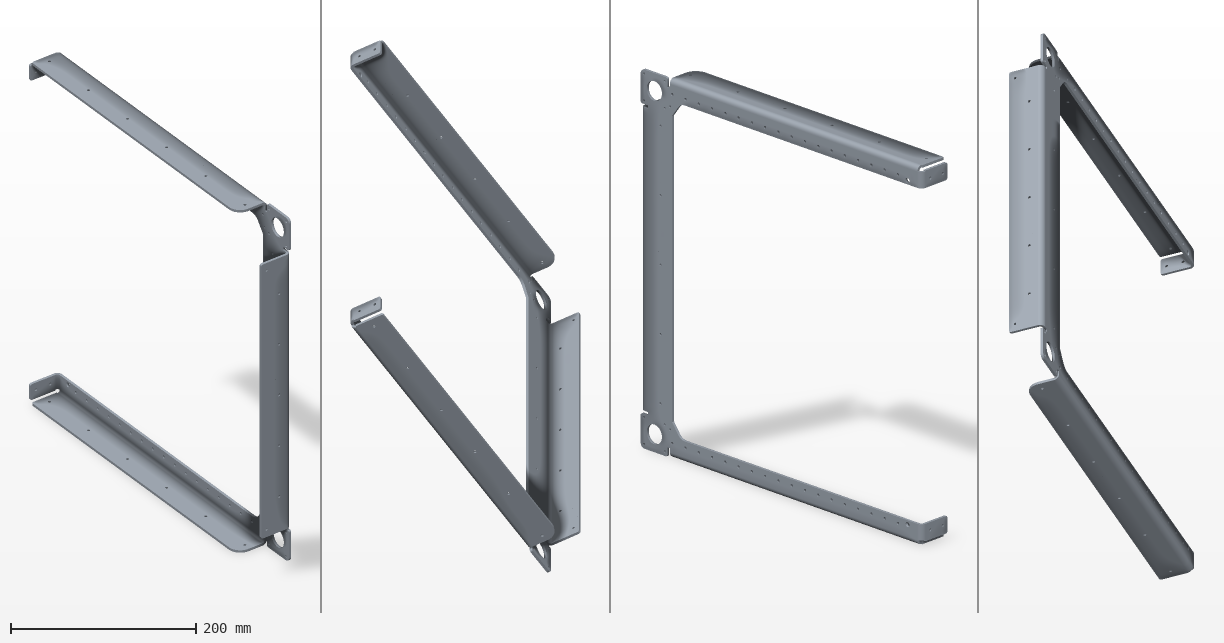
import cadquery as cq

WIDTH = 423.5
DEPTH = 40.0
HEIGHT = 439.0
RIGHT = WIDTH / 2
TOP = HEIGHT / 2
BACK = DEPTH / 2

SHEET = 3.0
INNER_BEND = 3.0
OUTER_BEND = INNER_BEND + SHEET

LEG_HEIGHT = 25.0
COLUMN_WIDTH = 47.5
GUSSET_WIDTH = 12.7
GUSSET_HEIGHT = 17.0
GUSSET_ROUND = 13.0
MOUNT_SIZE = 40.0
MOUNT_ROUND = 5.5
SLOT_ROUND = 2.0
RELIEF_WIDTH = 4.0
RELIEF_DEPTH = 11.0

CORNER_GAP = 5.0
FLANGE_ROUND = 2.0
LEG_FLANGE_ROUND = 15.0

SCREW_HOLE = 2.9
FLANGE_HOLE = 3.3
ROW_HOLE = 3.5
END_HOLE = 5.5
MOTOR_BORE = 23.0

MOTOR_INSET = 20.5
MOTOR_HOLE_PITCH = 31.0
GUSSET_HOLE_INSET_X = 44.5
GUSSET_HOLE_INSET_Z = 32.5
ROW_COUNT = 18
ROW_SPAN = 340.5
ROW_START = 35.5
ROW_INSET = 17.5
END_HOLE_START = 21.0
END_HOLE_INSET = 20.0
COLUMN_HOLE_COUNT = 5
COLUMN_HOLE_SPAN = 322.0
COLUMN_HOLE_INSET = 30.0

LEG_FLANGE_HOLE_COUNT = 6
LEG_FLANGE_HOLE_SPAN = 355.5
LEG_FLANGE_HOLE_START = 15.0
LEG_FLANGE_HOLE_DEPTH = 23.3
COLUMN_FLANGE_HOLE_SPAN = 260.0
COLUMN_FLANGE_HOLE_DEPTH = 16.2
COLUMN_FLANGE_END_HOLE_SPAN = 332.0
OUTER_HOLE_DEPTH = 33.0
TAB_HOLE_DEPTH = 13.5
TAB_HOLE_INSET = 16.0

LEG_BOTTOM = TOP - LEG_HEIGHT
COLUMN_LEFT = RIGHT - COLUMN_WIDTH
MOUNT_LEFT = RIGHT - MOUNT_SIZE
MOUNT_BOTTOM = TOP - MOUNT_SIZE
LEG_FLANGE_END = MOUNT_LEFT - RELIEF_WIDTH
COLUMN_FLANGE_END = MOUNT_BOTTOM - RELIEF_WIDTH


def spaced(count, span, start):
    """Evenly spaced places covering a span."""
    return [start + i * span / (count - 1) for i in range(count)]


def centred(count, span):
    return spaced(count, span, -span / 2)


def plate_holes(points, diameter):
    """Cutters through the back plate at (x, z) points."""
    return (
        cq.Workplane("XZ", origin=(0, BACK + SHEET, 0))
        .pushPoints(points)
        .circle(diameter / 2)
        .extrude(3 * SHEET)
    )


def upper_plate():
    """Flat part of the upper half of the back plate."""
    outline = [
        (-RIGHT + OUTER_BEND, LEG_BOTTOM),
        (-RIGHT + OUTER_BEND, TOP - OUTER_BEND),
        (LEG_FLANGE_END, TOP - OUTER_BEND),
        (LEG_FLANGE_END, TOP - RELIEF_DEPTH),
        (MOUNT_LEFT, TOP - RELIEF_DEPTH),
        (MOUNT_LEFT, TOP),
        (RIGHT, TOP),
        (RIGHT, MOUNT_BOTTOM),
        (RIGHT - RELIEF_DEPTH, MOUNT_BOTTOM),
        (RIGHT - RELIEF_DEPTH, COLUMN_FLANGE_END),
        (RIGHT - OUTER_BEND, COLUMN_FLANGE_END),
        (RIGHT - OUTER_BEND, 0),
        (COLUMN_LEFT, 0),
        (COLUMN_LEFT, LEG_BOTTOM - GUSSET_HEIGHT),
        (COLUMN_LEFT - GUSSET_WIDTH, LEG_BOTTOM),
    ]
    plate = cq.Workplane("XZ", origin=(0, BACK, 0)).polyline(outline).close().extrude(SHEET)
    rounded_corners = [
        (MOUNT_LEFT, TOP, SLOT_ROUND),
        (RIGHT, TOP, MOUNT_ROUND),
        (RIGHT, MOUNT_BOTTOM, SLOT_ROUND),
        (COLUMN_LEFT - GUSSET_WIDTH, LEG_BOTTOM, GUSSET_ROUND),
    ]
    for x, z, radius in rounded_corners:
        corner = cq.NearestToPointSelector((x, BACK - SHEET / 2, z))
        plate = plate.edges("|Y").edges(corner).fillet(radius)

    motor_x = RIGHT - MOTOR_INSET
    motor_z = TOP - MOTOR_INSET
    offset = MOTOR_HOLE_PITCH / 2
    screws = [(motor_x + i * offset, motor_z + j * offset) for i in (-1, 1) for j in (-1, 1)]
    screws.append((RIGHT - GUSSET_HOLE_INSET_X, TOP - GUSSET_HOLE_INSET_Z))
    row = [(x, TOP - ROW_INSET) for x in spaced(ROW_COUNT, ROW_SPAN, -RIGHT + ROW_START)]
    return (
        plate.cut(plate_holes([(motor_x, motor_z)], MOTOR_BORE))
        .cut(plate_holes(screws, SCREW_HOLE))
        .cut(plate_holes(row, ROW_HOLE))
        .cut(plate_holes([(-RIGHT + END_HOLE_START, TOP - END_HOLE_INSET)], END_HOLE))
    )


def bent_flange(start, end, start_round, end_round):
    """Flange with its bend, running along X from start to end.

    Its outer face lies on Z = 0 and it reaches forward from the back face at Y = BACK.
    """
    strip = (
        cq.Workplane("YZ", origin=(start, 0, 0))
        .moveTo(-BACK, 0)
        .lineTo(BACK - OUTER_BEND, 0)
        .radiusArc((BACK, -OUTER_BEND), OUTER_BEND)
        .lineTo(BACK - SHEET, -OUTER_BEND)
        .radiusArc((BACK - OUTER_BEND, -SHEET), -INNER_BEND)
        .lineTo(-BACK, -SHEET)
        .close()
        .extrude(end - start)
    )
    front_corners = strip.edges("|Z and <Y")
    strip = front_corners.edges("<X").fillet(start_round)
    return strip.edges("|Z and >X").fillet(end_round)


def flange_holes(points, diameter):
    """Cutters through a flange lying at Z = 0, at (x, depth from the back face) points."""
    return (
        cq.Workplane("XY", origin=(0, 0, -2 * SHEET))
        .pushPoints([(x, BACK - depth) for x, depth in points])
        .circle(diameter / 2)
        .extrude(3 * SHEET)
    )


def turn(shape, angle):
    """Turn about the Y axis."""
    return shape.rotate((0, 0, 0), (0, 1, 0), angle)


def leg_flange():
    """Long flange along the top edge of the upper leg."""
    flange = bent_flange(-RIGHT + CORNER_GAP, LEG_FLANGE_END, FLANGE_ROUND, LEG_FLANGE_ROUND)
    xs = spaced(LEG_FLANGE_HOLE_COUNT, LEG_FLANGE_HOLE_SPAN, -RIGHT + LEG_FLANGE_HOLE_START)
    holes = [(x, LEG_FLANGE_HOLE_DEPTH) for x in xs]
    return flange.cut(flange_holes(holes, FLANGE_HOLE)).translate((0, 0, TOP))


def end_tab():
    """Short tab on the free end of the upper leg."""
    tab = bent_flange(LEG_BOTTOM, TOP - CORNER_GAP, FLANGE_ROUND, FLANGE_ROUND)
    holes = [(TOP - TAB_HOLE_INSET, depth) for depth in (TAB_HOLE_DEPTH, OUTER_HOLE_DEPTH)]
    return turn(tab.cut(flange_holes(holes, FLANGE_HOLE)), -90).translate((-RIGHT, 0, 0))


def corner_relief():
    """Cutter that keeps the bends of the leg flange and the end tab apart."""
    return cq.Workplane("XY").box(OUTER_BEND, OUTER_BEND, OUTER_BEND).translate(
        (-RIGHT + OUTER_BEND / 2, BACK - OUTER_BEND / 2, TOP - OUTER_BEND / 2)
    )


def column_flange():
    """Flange along the outer edge of the column."""
    flange = bent_flange(-COLUMN_FLANGE_END, COLUMN_FLANGE_END, FLANGE_ROUND, FLANGE_ROUND)
    inner = [(z, COLUMN_FLANGE_HOLE_DEPTH) for z in centred(COLUMN_HOLE_COUNT, COLUMN_FLANGE_HOLE_SPAN)]
    outer = [(z, OUTER_HOLE_DEPTH) for z in centred(2, COLUMN_FLANGE_END_HOLE_SPAN)]
    flange = flange.cut(flange_holes(inner, FLANGE_HOLE)).cut(flange_holes(outer, SCREW_HOLE))
    return turn(flange, 90).translate((RIGHT, 0, 0))


def column_holes():
    """Cutters for the line of holes up the column."""
    points = [(RIGHT - COLUMN_HOLE_INSET, z) for z in centred(COLUMN_HOLE_COUNT, COLUMN_HOLE_SPAN)]
    return plate_holes(points, SCREW_HOLE)


upper_half = upper_plate().union(leg_flange()).union(end_tab()).cut(corner_relief())
result = upper_half.union(upper_half.mirror("XY")).union(column_flange()).cut(column_holes())